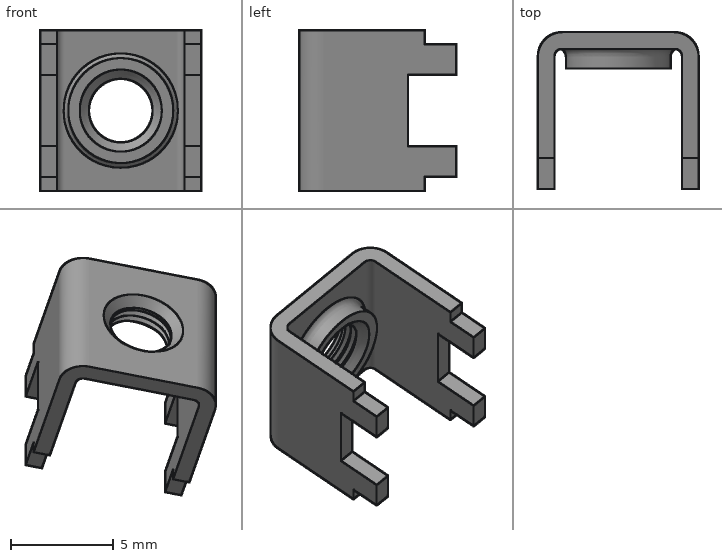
import cadquery as cq
import math

width = 7.87
height = 7.87
depth = 7.68
wall = 0.83
inner_bend_radius = 0.37
outer_bend_radius = inner_bend_radius + wall

shoulder_depth = 6.15
notch_depth = 5.32
leg_margin = 0.69
leg_width = 1.5

collar_diameter = 5.13
collar_length = 0.97
flare_length = 0.385
flare_width = 0.23

thread_diameter = 3.5
crest_diameter = 3.09
chamfer_diameter = 4.01
thread_pitch = 0.36
groove_count = 3

inner_face = -wall
bore_length = wall + collar_length
overlap = 0.08


def bracket():
    """U-shaped sheet with its outer back face on Y = 0."""
    outer = (
        cq.Workplane("XY")
        .box(width, depth, height, centered=(True, False, True))
        .translate((0, -depth, 0))
        .edges("|Z and >Y")
        .fillet(outer_bend_radius)
    )
    cavity = (
        cq.Workplane("XY")
        .box(width - 2 * wall, depth, height, centered=(True, False, True))
        .translate((0, inner_face - depth, 0))
        .edges("|Z and >Y")
        .fillet(inner_bend_radius)
    )
    return outer.cut(cavity)


def leg_gaps():
    """Material removed between and beside the legs, through both side walls."""
    gap_height = height - 2 * (leg_margin + leg_width)
    gaps = cq.Workplane("XY").box(width, 2 * (depth - notch_depth), gap_height).translate((0, -depth, 0))
    for side in (-1, 1):
        shoulder = cq.Workplane("XY").box(width, 2 * (depth - shoulder_depth), leg_margin)
        gaps = gaps.union(shoulder.translate((0, -depth, side * (height - leg_margin) / 2)))
    return gaps


def revolve_about_bore(profile):
    """Turn a closed (radius, Y) profile about the Y axis."""
    return profile.close().revolve(360, (0, 0, 0), (0, 1, 0))


def collar():
    """Collar with a concave flare, tangent to the collar, where it meets the back wall."""
    radius = collar_diameter / 2
    flare_radius = (flare_width**2 + flare_length**2) / (2 * flare_width)
    half_angle = math.asin(flare_length / flare_radius) / 2
    arc_middle = (
        radius + flare_radius * (1 - math.cos(half_angle)),
        inner_face - flare_length + flare_radius * math.sin(half_angle),
    )
    profile = (
        cq.Workplane("XY")
        .moveTo(0, -bore_length)
        .lineTo(radius, -bore_length)
        .lineTo(radius, inner_face - flare_length)
        .threePointArc(arc_middle, (radius + flare_width, inner_face))
        .lineTo(radius + flare_width, inner_face + overlap)
        .lineTo(0, inner_face + overlap)
    )
    return revolve_about_bore(profile)


def threaded_bore():
    """Through bore with 45-degree chamfers at both ends and V-shaped ring grooves for the thread."""
    root = thread_diameter / 2
    crest = crest_diameter / 2
    mouth = chamfer_diameter / 2
    flank_length = thread_pitch / 2
    first_root = mouth - root - bore_length
    profile = (
        cq.Workplane("XY")
        .moveTo(0, -bore_length)
        .lineTo(mouth, -bore_length)
        .lineTo(root, first_root)
        .lineTo(crest, first_root + flank_length)
    )
    for groove in range(1, groove_count):
        groove_root = first_root + groove * thread_pitch
        profile = profile.lineTo(root, groove_root).lineTo(crest, groove_root + flank_length)
    profile = profile.lineTo(crest, crest - mouth).lineTo(mouth, 0).lineTo(0, 0)
    return revolve_about_bore(profile)


result = bracket().cut(leg_gaps()).union(collar()).cut(threaded_bore())